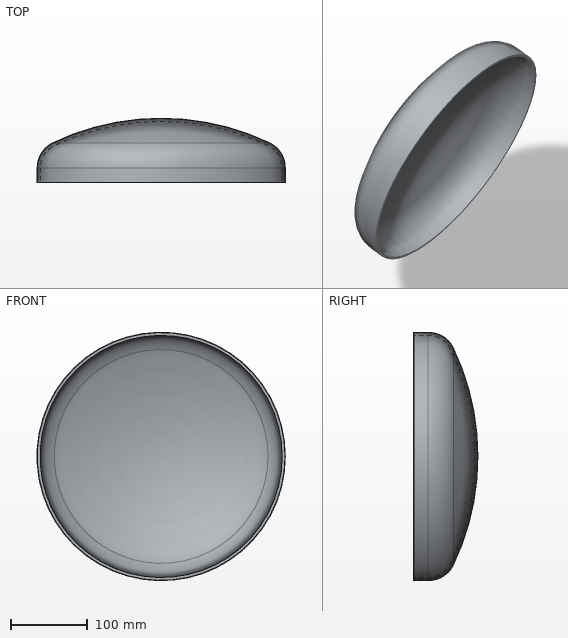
import cadquery as cq
import math

outer_diameter = 324.0
inner_diameter = 315.8
skirt_length = 19.0
knuckle_to_diameter = 0.1

outer_radius = outer_diameter / 2
inner_radius = inner_diameter / 2
wall = outer_radius - inner_radius

inner_crown_radius = outer_diameter
inner_knuckle_radius = knuckle_to_diameter * outer_diameter
outer_crown_radius = inner_crown_radius + wall
outer_knuckle_radius = inner_knuckle_radius + wall

knuckle_center_x = inner_radius - inner_knuckle_radius
tangent_angle = math.asin(knuckle_center_x / (inner_crown_radius - inner_knuckle_radius))
crown_center_y = skirt_length - knuckle_center_x / math.tan(tangent_angle)


def crown_point(radius, angle):
    """Point on a crown arc, at an angle measured from the Y axis."""
    return (radius * math.sin(angle), crown_center_y + radius * math.cos(angle))


def knuckle_middle(radius):
    """Middle point of a knuckle arc, between the skirt and the crown."""
    angle = (tangent_angle + math.pi / 2) / 2
    return (knuckle_center_x + radius * math.sin(angle), skirt_length + radius * math.cos(angle))


outer_tangent = crown_point(outer_crown_radius, tangent_angle)
outer_crown_middle = crown_point(outer_crown_radius, tangent_angle / 2)
outer_apex = crown_point(outer_crown_radius, 0)
inner_apex = crown_point(inner_crown_radius, 0)
inner_crown_middle = crown_point(inner_crown_radius, tangent_angle / 2)
inner_tangent = crown_point(inner_crown_radius, tangent_angle)

wall_section = (
    cq.Workplane("XY")
    .moveTo(inner_radius, 0)
    .lineTo(outer_radius, 0)
    .lineTo(outer_radius, skirt_length)
    .threePointArc(knuckle_middle(outer_knuckle_radius), outer_tangent)
    .threePointArc(outer_crown_middle, outer_apex)
    .lineTo(*inner_apex)
    .threePointArc(inner_crown_middle, inner_tangent)
    .threePointArc(knuckle_middle(inner_knuckle_radius), (inner_radius, skirt_length))
    .close()
)

result = wall_section.revolve(360, (0, 0, 0), (0, 1, 0))